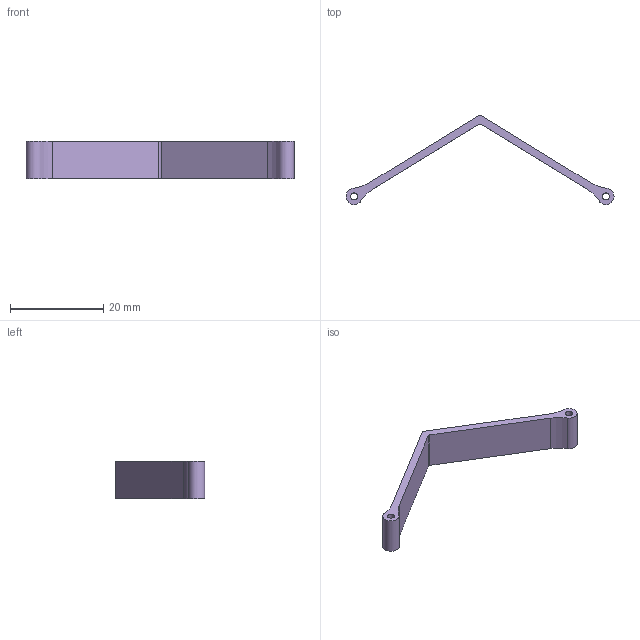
import cadquery as cq
import math

HEIGHT = 8.0
HOLE_SPACING = 54.0
HOLE_DIAMETER = 1.5
BOSS_DIAMETER = 3.5
ARM_THICKNESS = 1.6
ARM_ANGLE = 31.5
APEX_FILLET = 0.5
ROOT_FILLET = 8.0

slope = math.radians(ARM_ANGLE)
half_spacing = HOLE_SPACING / 2
apex_y = half_spacing * math.tan(slope)
apex_offset = ARM_THICKNESS / 2 / math.cos(slope)
end_dx = ARM_THICKNESS / 2 * math.sin(slope)
end_dy = ARM_THICKNESS / 2 * math.cos(slope)
hole_centres = [(-half_spacing, 0), (half_spacing, 0)]

root_distance = math.sqrt((BOSS_DIAMETER / 2) ** 2 - (ARM_THICKNESS / 2) ** 2)
root_dx = root_distance * math.cos(slope)
root_dy = root_distance * math.sin(slope)


def vertical_edges_at(body, points):
    """Select the full-height edges of body that stand on the given XY points."""
    tolerance = 0.01
    edges = body.edges("|Z").filter(
        lambda edge: any(
            math.dist((edge.Center().x, edge.Center().y), point) < tolerance
            for point in points
        )
    )
    return edges


def make_arms():
    """Bent strip of constant thickness, its ends centred on the hole axes."""
    outline = [
        (-half_spacing - end_dx, end_dy),
        (0, apex_y + apex_offset),
        (half_spacing + end_dx, end_dy),
        (half_spacing - end_dx, -end_dy),
        (0, apex_y - apex_offset),
        (-half_spacing + end_dx, -end_dy),
    ]
    arms = cq.Workplane("XY").polyline(outline).close().extrude(HEIGHT)
    corners = [(0, apex_y + apex_offset), (0, apex_y - apex_offset)]
    return vertical_edges_at(arms, corners).fillet(APEX_FILLET)


def add_bosses(body):
    """Round boss at each arm end, blended smoothly into both arm sides."""
    bosses = cq.Workplane("XY").pushPoints(hole_centres).circle(BOSS_DIAMETER / 2).extrude(HEIGHT)
    body = body.union(bosses)
    roots = []
    for side in (-1, 1):
        roots.append((side * (half_spacing - root_dx + end_dx), root_dy + end_dy))
        roots.append((side * (half_spacing - root_dx - end_dx), root_dy - end_dy))
    return vertical_edges_at(body, roots).fillet(ROOT_FILLET)


def cut_holes(body):
    """Through hole on the axis of each boss."""
    holes = cq.Workplane("XY").pushPoints(hole_centres).circle(HOLE_DIAMETER / 2).extrude(HEIGHT)
    return body.cut(holes)


result = cut_holes(add_bosses(make_arms()))